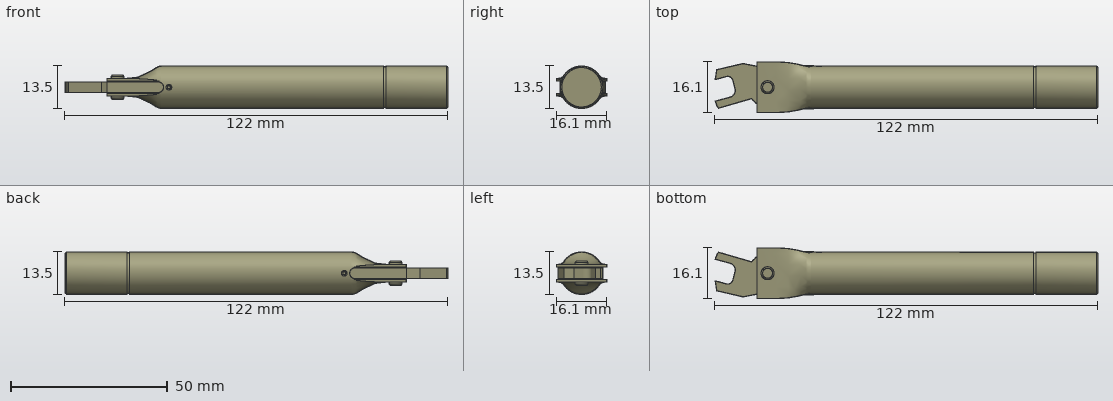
import cadquery as cq
import math

TOTAL_LENGTH = 122.0
HANDLE_RADIUS = 13.5 / 2
END_CHAMFER = 0.5

CLEARANCE = 1.2

HEAD_START = 13.3
HEAD_WIDTH = 16.1
HEAD_THICKNESS = 5.6
NECK_START = 20.5
NECK_END = 29.9
FLARE_STEPS = 4
FLAT_STEPS = 4
SHOULDER_LENGTH = 1.5
SHOULDER_START = NECK_END - SHOULDER_LENGTH / 2
SHOULDER_END = NECK_END + SHOULDER_LENGTH / 2
SLOT_HEIGHT = 3.9

GROOVE_START = 101.5
GROOVE_WIDTH = 0.7
GROOVE_DEPTH = 0.2

BLADE_THICKNESS = 3.4
JAW_TILT = 15.0
JAW_OFFSET = -1.0
MOUTH_WIDTH = 6.6
MOUTH_BOTTOM = 6.0
UPPER_MOUTH_FILLET = 1.6
LOWER_MOUTH_FILLET = 2.2
TAIL_WIDTH = 13.8
TAIL_END = 31.4

RIVET_X = 16.7
RIVET_RADIUS = 2.1
RIVET_HEIGHT = 7.9
RIVET_CHAMFER = 0.5

RECESS_X = 33.1
RECESS_OUTER_RADIUS = 0.92
RECESS_INNER_RADIUS = 0.5
RECESS_DEPTH = 0.5


def arched_section(x, half_width, half_height, side_reach, top_reach):
    """Closed four-sided section at x: corners at the half sizes, each side arched out to its reach."""
    section = cq.Workplane("YZ", origin=(x, 0, 0)).moveTo(half_width, half_height)
    sides = [
        ((0, top_reach), (-half_width, half_height)),
        ((-side_reach, 0), (-half_width, -half_height)),
        ((0, -top_reach), (half_width, -half_height)),
        ((side_reach, 0), (half_width, half_height)),
    ]
    for middle, corner in sides:
        section = section.threePointArc(middle, corner)
    return section.close().wires().val()


def neck_section(x, roundness):
    """Neck section at x; roundness 0 is the flat head outline and 1 is the round handle outline."""
    flat_y = HEAD_WIDTH / 2
    flat_z = HEAD_THICKNESS / 2
    corner_angle = math.atan2(flat_z, flat_y)
    corner_y = HANDLE_RADIUS * math.cos(corner_angle)
    corner_z = HANDLE_RADIUS * math.sin(corner_angle)
    if roundness == 0:
        flat = cq.Workplane("YZ", origin=(x, 0, 0)).rect(HEAD_WIDTH, HEAD_THICKNESS)
        return flat.wires().val()
    return arched_section(
        x,
        flat_y + roundness * (corner_y - flat_y),
        flat_z + roundness * (corner_z - flat_z),
        flat_y + roundness * (HANDLE_RADIUS - flat_y),
        flat_z + roundness * (HANDLE_RADIUS - flat_z),
    )


def flare_roundness(x):
    """Roundness along the flare: it starts level and ends as a straight slope at NECK_END."""
    t = (x - NECK_START) / (NECK_END - NECK_START)
    return 1.5 * t**2 - 0.5 * t**3


def make_head_and_neck():
    """Flat head flaring out to the handle, then a rounded shoulder running level onto it."""
    flat_length = NECK_START - HEAD_START
    flare_length = SHOULDER_START - NECK_START
    head_sections = []
    for step in range(FLAT_STEPS):
        x = HEAD_START + flat_length * step / FLAT_STEPS
        head_sections.append(neck_section(x, 0))
    for step in range(FLARE_STEPS + 1):
        x = NECK_START + flare_length * step / FLARE_STEPS
        head_sections.append(neck_section(x, flare_roundness(x)))

    shortfall = 1 - flare_roundness(SHOULDER_START)
    shoulder_sections = []
    for remaining in (1, 0.5, 0):
        x = SHOULDER_END - remaining * (SHOULDER_END - SHOULDER_START)
        shoulder_sections.append(neck_section(x, 1 - shortfall * remaining**2))

    head = cq.Workplane(obj=cq.Solid.makeLoft(head_sections))
    shoulder = cq.Workplane(obj=cq.Solid.makeLoft(shoulder_sections))
    return head.union(shoulder)


def make_handle():
    """Round handle with the chamfered end and the ring groove."""
    handle = (
        cq.Workplane("YZ", origin=(SHOULDER_END, 0, 0))
        .circle(HANDLE_RADIUS)
        .extrude(TOTAL_LENGTH - SHOULDER_END)
        .faces(">X")
        .chamfer(END_CHAMFER)
    )
    groove = (
        cq.Workplane("YZ", origin=(GROOVE_START, 0, 0))
        .circle(HANDLE_RADIUS + CLEARANCE)
        .circle(HANDLE_RADIUS - GROOVE_DEPTH)
        .extrude(GROOVE_WIDTH)
    )
    return handle.cut(groove)


def make_body():
    """Handle, neck and head in one piece, with the blade slot cut through the head."""
    body = make_handle().union(make_head_and_neck())
    slot = cq.Workplane("XY").box(
        NECK_END - HEAD_START, HEAD_WIDTH + CLEARANCE, SLOT_HEIGHT, centered=(False, True, True)
    )
    return body.cut(slot.translate((HEAD_START, 0, 0)))


def make_fork():
    """Open-ended jaw, tilted in its plane, ending flush with the front of the head."""
    outline = [
        (0, 2.5),
        (0.5, 5.6),
        (8.9, 7.6),
        (HEAD_START, 6.7),
        (HEAD_START, -5.4),
        (11.6, -3.7),
        (1.1, -6.7),
        (0.6, -6.1),
        (0, -4.4),
    ]
    jaw = cq.Workplane("XY").polyline(outline).close().extrude(BLADE_THICKNESS / 2, both=True)
    mouth = (
        cq.Workplane("XY")
        .box(2 * MOUTH_BOTTOM, MOUTH_WIDTH, 2 * BLADE_THICKNESS)
        .edges("|Z and >X and >Y")
        .fillet(UPPER_MOUTH_FILLET)
        .edges("|Z and >X and <Y")
        .fillet(LOWER_MOUTH_FILLET)
        .translate((0, JAW_OFFSET, 0))
        .rotate((0, 0, 0), (0, 0, 1), JAW_TILT)
    )
    return jaw.cut(mouth)


def make_tail():
    """Blade tail lying in the slot, with its rounded end let into the handle."""
    half = BLADE_THICKNESS / 2
    return (
        cq.Workplane("XZ")
        .moveTo(HEAD_START, half)
        .lineTo(TAIL_END - half, half)
        .threePointArc((TAIL_END, 0), (TAIL_END - half, -half))
        .lineTo(HEAD_START, -half)
        .close()
        .extrude(TAIL_WIDTH / 2, both=True)
    )


def make_rivet():
    """Rivet with chamfered heads on both faces of the clevis."""
    return (
        cq.Workplane("XY")
        .center(RIVET_X, 0)
        .circle(RIVET_RADIUS)
        .extrude(RIVET_HEIGHT / 2, both=True)
        .faces("<Z or >Z")
        .edges()
        .chamfer(RIVET_CHAMFER)
    )


def make_recess(side):
    """Conical recess in the side of the handle; side is +1 or -1 along Y."""
    cone = cq.Solid.makeCone(
        RECESS_OUTER_RADIUS,
        RECESS_INNER_RADIUS,
        RECESS_DEPTH,
        pnt=cq.Vector(RECESS_X, side * HANDLE_RADIUS, 0),
        dir=cq.Vector(0, -side, 0),
    )
    return cq.Workplane(obj=cone)


tool = make_body().union(make_tail()).union(make_fork()).union(make_rivet())
for side in (-1, 1):
    tool = tool.cut(make_recess(side))
result = tool.solids()